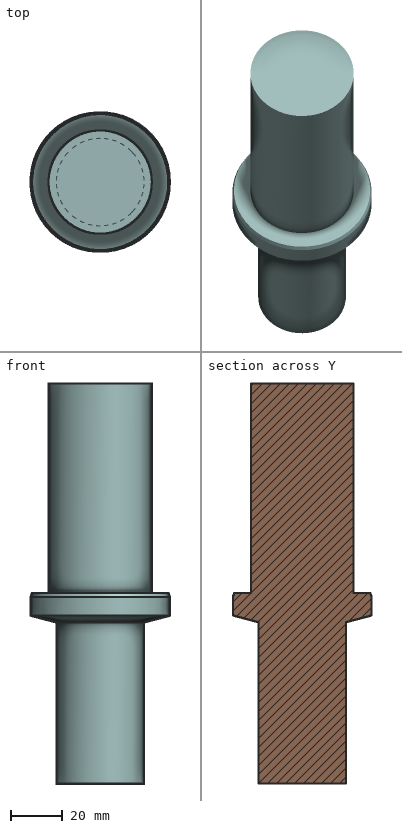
import cadquery as cq

total_height = 155.0
lower_diameter = 34.0
upper_diameter = 40.0
collar_diameter = 54.0

lower_length = 62.5
cone_height = 2.6
collar_top = 74.0

rim_bevel_width = 0.6
rim_bevel_height = 1.5

lower_radius = lower_diameter / 2
upper_radius = upper_diameter / 2
collar_radius = collar_diameter / 2

half_profile = (
    cq.Workplane("XZ")
    .lineTo(lower_radius, 0)
    .lineTo(lower_radius, lower_length)
    .lineTo(collar_radius, lower_length + cone_height)
    .lineTo(collar_radius, collar_top - rim_bevel_height)
    .lineTo(collar_radius - rim_bevel_width, collar_top)
    .lineTo(upper_radius, collar_top)
    .lineTo(upper_radius, total_height)
    .lineTo(0, total_height)
    .close()
)

result = half_profile.revolve(360, (0, 0, 0), (0, 1, 0))